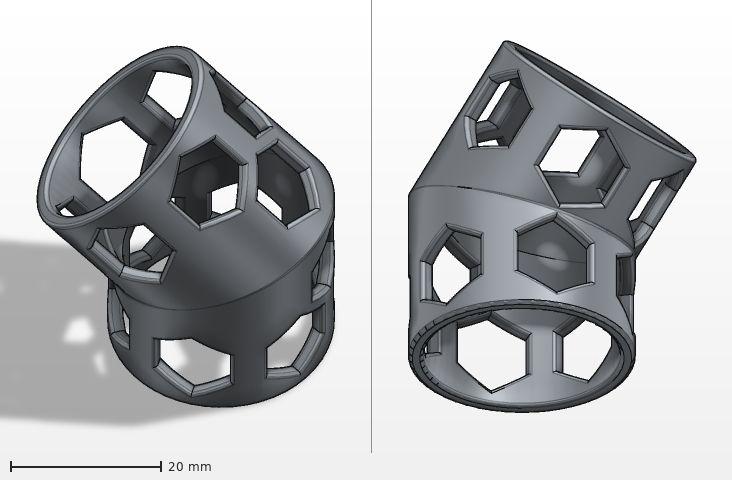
import cadquery as cq
import math

OUTER_DIAMETER = 30.2
WALL = 2.0
OUTER_RADIUS = OUTER_DIAMETER / 2
INNER_RADIUS = OUTER_RADIUS - WALL

BEND_ANGLE = 45.0
MITRE_ANGLE = BEND_ANGLE / 2
LEG_LENGTH = 20.0

HEX_SIDES = 6
HEX_FLATS = 10.0
HEX_CORNERS = HEX_FLATS / math.cos(math.pi / HEX_SIDES)
WINDOW_COUNT = 6
WINDOW_STEP = 360 / WINDOW_COUNT
RING_HEIGHT = 8.0
ROW_PITCH = 10.0
BACK_HEIGHT = RING_HEIGHT + ROW_PITCH

EDGE_RADIUS = 0.5

CLEARANCE = 10.0

POSITION_TOLERANCE = 0.01

MITRE_RISE = OUTER_RADIUS * math.tan(math.radians(MITRE_ANGLE))
BLANK_LENGTH = LEG_LENGTH + MITRE_RISE + CLEARANCE
BLOCK_SIZE = 4 * BLANK_LENGTH


def straight_tube():
    """Blank for one leg, standing on its open end, with its seam on -X, clear of the windows."""
    tube = cq.Workplane("XY").circle(OUTER_RADIUS).circle(INNER_RADIUS).extrude(BLANK_LENGTH)
    return tube.rotate((0, 0, 0), (0, 0, 1), 180)


def window_cutter(height, angle):
    """Hexagonal prism from the tube axis outwards, at an angle from +X."""
    prism = (
        cq.Workplane("YZ")
        .center(0, height)
        .transformed(rotate=(0, 0, 90))
        .polygon(HEX_SIDES, HEX_CORNERS)
        .extrude(OUTER_RADIUS + CLEARANCE)
    )
    return prism.rotate((0, 0, 0), (0, 0, 1), angle)


def cut_windows(tube):
    """A ring of windows near the open end and one on the outside of the bend."""
    for i in range(WINDOW_COUNT):
        tube = tube.cut(window_cutter(RING_HEIGHT, (i + 0.5) * WINDOW_STEP))
    return tube.cut(window_cutter(BACK_HEIGHT, 0))


def follows_surface(edge):
    """True when an edge stays at one distance from the tube axis."""
    start = edge.startPoint()
    end = edge.endPoint()
    radius_change = math.hypot(start.x, start.y) - math.hypot(end.x, end.y)
    return abs(radius_change) < POSITION_TOLERANCE


def round_edges(tube):
    """Round the open rim and the windows, inside and outside."""
    flat_faces = tube.faces("%PLANE").faces("not >Z")
    return flat_faces.edges().filter(follows_surface).fillet(EDGE_RADIUS)


def mitre_cutter():
    """Block that removes everything beyond the mitre plane."""
    block = cq.Workplane("XY").box(BLOCK_SIZE, BLOCK_SIZE, BLOCK_SIZE, centered=(True, True, False))
    block = block.rotate((0, 0, 0), (0, 1, 0), -MITRE_ANGLE)
    return block.translate((0, 0, LEG_LENGTH))


def second_leg(leg):
    """The same leg turned half a revolution about the slope line of the mitre."""
    mitre_centre = cq.Vector(0, 0, LEG_LENGTH)
    slope = math.radians(MITRE_ANGLE)
    slope_direction = cq.Vector(math.cos(slope), 0, math.sin(slope))
    return leg.rotate(mitre_centre.toTuple(), (mitre_centre + slope_direction).toTuple(), 180)


def on_outer_mitre(edge):
    """True for an edge along which the outer surfaces of the two legs meet."""
    slope = math.tan(math.radians(MITRE_ANGLE))
    for fraction in (0.0, 0.5, 1.0):
        point = edge.positionAt(fraction)
        off_plane = abs(point.z - LEG_LENGTH - slope * point.x)
        off_surface = abs(math.hypot(point.x, point.y) - OUTER_RADIUS)
        if max(off_plane, off_surface) > POSITION_TOLERANCE:
            return False
    return True


def round_mitre(elbow):
    """Round the outer mitre edge, convex on +X and concave on -X, one half at a time.

    The edge fades out where the surfaces run into each other at X = 0, so the halves part there.
    """
    rounded = cq.Workplane("XY")
    for side in (1, -1):
        half_space = cq.Workplane("XY").box(BLOCK_SIZE, BLOCK_SIZE, BLOCK_SIZE)
        half_space = half_space.translate((side * BLOCK_SIZE / 2, 0, 0))
        half = elbow.intersect(half_space)
        rounded = rounded.add(half.edges().filter(on_outer_mitre).fillet(EDGE_RADIUS))
    return rounded.combine()


lower_leg = round_edges(cut_windows(straight_tube())).cut(mitre_cutter())
upper_leg = second_leg(lower_leg)
result = round_mitre(lower_leg.union(upper_leg))